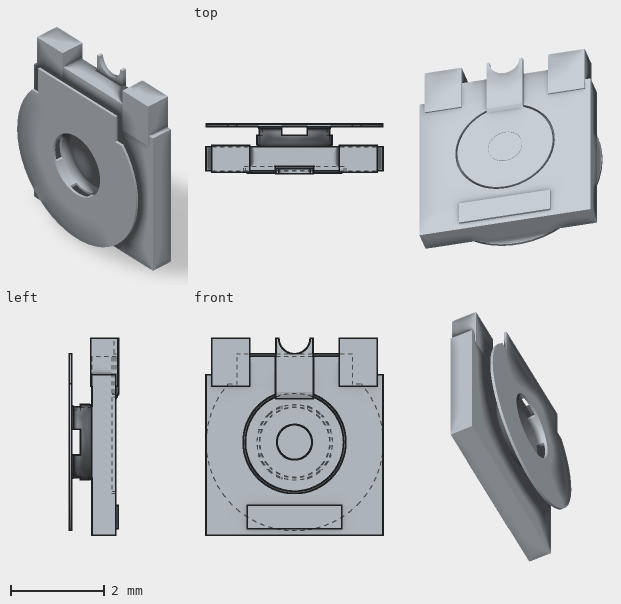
import cadquery as cq
import math


block_width = 3.8
block_depth = 0.515
shoulder_height = 3.45
block_height = 3.845
total_height = 4.23
axis_height = 2.0

foot_outer_x = 1.775
foot_inner_x = 0.955
foot_bottom = 3.198
foot_front = -0.035
foot_back = 0.545
pad_width = 2.02
pad_bottom = 0.14
pad_top = 0.645
pad_thickness = 0.05

tab_width = 0.8
tab_front = -0.065
tab_back = 0.045
tab_bend_top = 3.075
tab_bend_bottom = 3.03
tab_bend_setback = 0.013
disc_top = 2.935
disc_radius = 1.055
notch_radius = 0.335
recess_radius = 1.105
recess_depth = 0.095
slot_width = 0.83
pin_radius = 0.38
pin_groove_width = 0.01
pin_groove_depth = 0.013

flange_front = 0.948
flange_thickness = 0.06
flange_back = flange_front + flange_thickness
flange_radius = 1.9
flange_tab_half_width = 1.235
flange_step_height = 3.25
flange_top = axis_height + flange_radius
tube_radius = 0.81
tube_tip_radius = 0.76
tube_round_end = 0.61
tube_flare_start = 0.905
tube_flare_radius = 0.83
bore_radius = tube_radius - flange_thickness
window_width = 0.545
window_front = 0.765


def box(x_min, x_max, y_min, y_max, z_min, z_max):
    """Box between the given limits."""
    size = (x_max - x_min, y_max - y_min, z_max - z_min)
    return cq.Workplane("XY").box(*size, centered=False).translate((x_min, y_min, z_min))


def centred_box(width, y_min, y_max, z_min, z_max):
    """Box centred on X = 0."""
    return box(-width / 2, width / 2, y_min, y_max, z_min, z_max)


def cylinder(radius, y_min, y_max, z=axis_height):
    """Cylinder along Y, centred on X = 0."""
    base = cq.Workplane("XZ", origin=(0, y_min, z))
    return base.circle(radius).extrude(y_min - y_max)


def make_block():
    """Block with a raised middle and a recess for the contact."""
    block = centred_box(block_width, 0, block_depth, 0, shoulder_height)
    middle = centred_box(2 * foot_outer_x, 0, block_depth, 0, block_height)
    recess = cylinder(recess_radius, 0, recess_depth)
    slot = centred_box(slot_width, 0, recess_depth, axis_height, block_height)
    return block.union(middle).cut(recess).cut(slot)


def make_contact():
    """Disc in the recess, with a notched tab that bends out from its top."""
    disc = cylinder(disc_radius, 0, recess_depth)
    tab = (
        cq.Workplane("YZ", origin=(-tab_width / 2, 0, 0))
        .polyline([
            (0, disc_top),
            (tab_front + tab_bend_setback, tab_bend_bottom),
            (tab_front, tab_bend_top),
            (tab_front, total_height),
            (tab_back, total_height),
            (tab_back, disc_top),
        ])
        .close()
        .extrude(tab_width)
    )
    notch = cylinder(notch_radius, tab_front, tab_back, total_height)
    groove = cylinder(pin_radius, 0, pin_groove_depth).cut(
        cylinder(pin_radius - pin_groove_width, 0, pin_groove_depth)
    )
    return disc.union(tab).cut(notch).cut(groove)


def make_connector():
    """Block, contact, feet and pad as one solid."""
    connector = make_block().union(make_contact())
    for left, right in ((-foot_outer_x, -foot_inner_x), (foot_inner_x, foot_outer_x)):
        connector = connector.union(box(left, right, foot_front, foot_back, foot_bottom, total_height))
    return connector.union(centred_box(pad_width, -pad_thickness, 0, pad_bottom, pad_top))


def make_tube():
    """Tube with a rounded tip, a flared root and four windows next to the flange."""
    round_x = tube_tip_radius + (tube_radius - tube_tip_radius) * math.sin(math.pi / 4)
    round_y = tube_round_end - (tube_round_end - block_depth) * math.cos(math.pi / 4)
    tube = (
        cq.Workplane("XY")
        .moveTo(bore_radius, block_depth)
        .lineTo(tube_tip_radius, block_depth)
        .threePointArc((round_x, round_y), (tube_radius, tube_round_end))
        .lineTo(tube_radius, tube_flare_start)
        .lineTo(tube_flare_radius, flange_front)
        .lineTo(bore_radius, flange_front)
        .close()
        .revolve(360, (0, 0, 0), (0, 1, 0))
        .translate((0, 0, axis_height))
    )
    half = window_width / 2
    reach = tube_flare_radius
    upright = centred_box(window_width, window_front, flange_front, axis_height - reach, axis_height + reach)
    level = centred_box(2 * reach, window_front, flange_front, axis_height - half, axis_height + half)
    return tube.cut(upright).cut(level)


def make_flange():
    """Round plate with a squared top tab and an opening for the bore."""
    plate = cylinder(flange_radius, flange_front, flange_back)
    above_step = centred_box(2 * flange_radius, flange_front, flange_back, flange_step_height, flange_top)
    top_tab = centred_box(2 * flange_tab_half_width, flange_front, flange_back, axis_height, flange_top)
    bore = cylinder(bore_radius, flange_front, flange_back)
    return plate.cut(above_step).union(top_tab).cut(bore)


connector = make_connector()
shell = make_flange().union(make_tube())

result = cq.Compound.makeCompound([connector.val(), shell.val()])